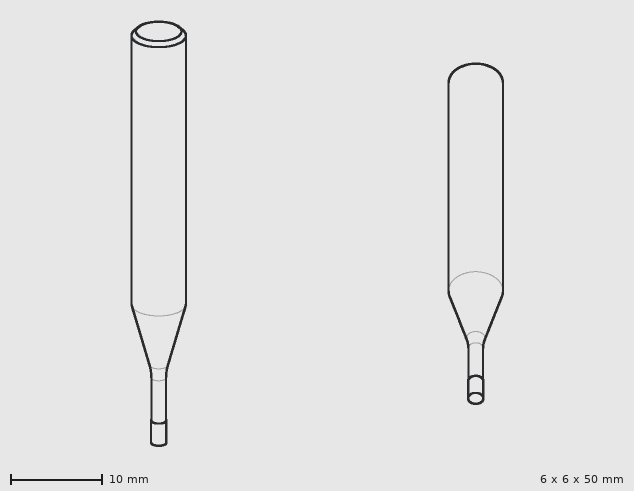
import cadquery as cq
import math


head_diameter = 1.7
head_length = 2.7

neck_diameter = 1.64
neck_end_z = 7.9
neck_blend_radius = 6.0

taper_half_angle = math.radians(15)
shank_diameter = 6.0
shank_chamfer = 0.5
overall_length = 50.0

head_radius = head_diameter / 2
neck_radius = neck_diameter / 2
shank_radius = shank_diameter / 2


def blend_point(angle):
    """Point (radius, height) on the neck blend where its wall leans outward by the given angle."""
    radius = neck_radius + neck_blend_radius * (1 - math.cos(angle))
    height = neck_end_z + neck_blend_radius * math.sin(angle)
    return radius, height


blend_middle = blend_point(taper_half_angle / 2)
blend_end = blend_point(taper_half_angle)
taper_height = (shank_radius - blend_end[0]) / math.tan(taper_half_angle)
taper_end_z = blend_end[1] + taper_height

section_plane = cq.Plane(origin=(0, 0, 0), xDir=(0, -1, 0), normal=(-1, 0, 0))


def revolve_about_axis(half_section):
    """Turn a half section a full turn about the tool axis."""
    return half_section.revolve(360, (0, 0), (0, 1))


def make_cutting_head():
    """Plain cylinder that envelops the cutting edges."""
    half_section = (
        cq.Workplane(section_plane)
        .lineTo(head_radius, 0)
        .lineTo(head_radius, head_length)
        .lineTo(0, head_length)
        .close()
    )
    return revolve_about_axis(half_section)


def make_shank():
    """Neck, blend, taper and chamfered shank, resting on top of the cutting head."""
    half_section = (
        cq.Workplane(section_plane)
        .moveTo(0, head_length)
        .lineTo(neck_radius, head_length)
        .lineTo(neck_radius, neck_end_z)
        .threePointArc(blend_middle, blend_end)
        .lineTo(shank_radius, taper_end_z)
        .lineTo(shank_radius, overall_length - shank_chamfer)
        .lineTo(shank_radius - shank_chamfer, overall_length)
        .lineTo(0, overall_length)
        .close()
    )
    return revolve_about_axis(half_section)


cutting_head = make_cutting_head()
shank = make_shank()

result = cq.Compound.makeCompound([cutting_head.val(), shank.val()])